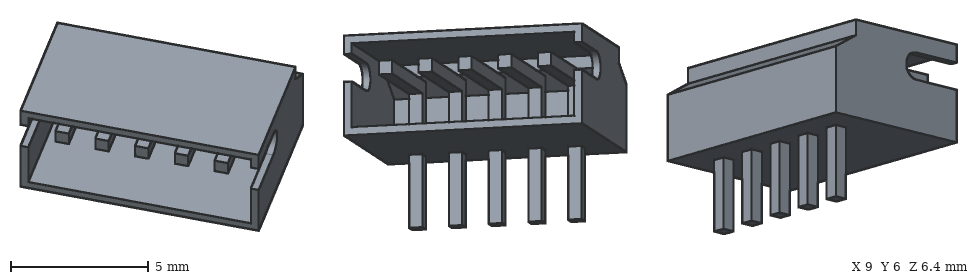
import cadquery as cq
import math

LENGTH = 9.0
DEPTH = 6.0
HOUSING_HEIGHT = 3.7
WALL = 0.3

STEP_DEPTH = 1.0
SLOPE_TOP_DROP = 0.59
SLOPE_BOTTOM_DROP = 1.2

SLOT_HEIGHT = 1.03
SLOT_LENGTH = 2.5
SLOT_CENTER_Z = 2.5

PIN_COUNT = 5
PIN_PITCH = 1.5
PIN_SIZE = 0.5
PIN_TAIL = 2.7
PIN_TIP_SETBACK = 0.29
PIN_BACK_OFFSET = 1.15

STEP_Y = DEPTH - STEP_DEPTH
SLOPE_TOP_Z = HOUSING_HEIGHT - SLOPE_TOP_DROP
SLOPE_BOTTOM_Z = HOUSING_HEIGHT - SLOPE_BOTTOM_DROP
SLOPE_ANGLE = math.atan2(SLOPE_TOP_Z - SLOPE_BOTTOM_Z, STEP_DEPTH)

INNER_TOP_DROP = WALL * (1 / math.cos(SLOPE_ANGLE) - math.tan(SLOPE_ANGLE))

PIN_BACK_Y = DEPTH - PIN_BACK_OFFSET
PIN_TOP_Z = SLOT_CENTER_Z + PIN_SIZE / 2
PIN_XS = [(i - (PIN_COUNT - 1) / 2) * PIN_PITCH for i in range(PIN_COUNT)]


def extrude_side_profile(points, width):
    """Extrude a (y, z) outline symmetrically about x = 0."""
    return cq.Workplane("YZ").polyline(points).close().extrude(width / 2, both=True)


def make_pin(x):
    """L-shaped pin: a contact pointing to the open front and a tail pointing down."""
    leg_front_y = PIN_BACK_Y - PIN_SIZE
    contact_bottom_z = PIN_TOP_Z - PIN_SIZE
    profile = [
        (PIN_TIP_SETBACK, PIN_TOP_Z),
        (PIN_BACK_Y, PIN_TOP_Z),
        (PIN_BACK_Y, -PIN_TAIL),
        (leg_front_y, -PIN_TAIL),
        (leg_front_y, contact_bottom_z),
        (PIN_TIP_SETBACK, contact_bottom_z),
    ]
    return extrude_side_profile(profile, PIN_SIZE).translate((x, 0, 0))


def make_shell():
    """Outer block with the stepped, sloped rear edge."""
    profile = [
        (0, 0),
        (DEPTH, 0),
        (DEPTH, SLOPE_BOTTOM_Z),
        (STEP_Y, SLOPE_TOP_Z),
        (STEP_Y, HOUSING_HEIGHT),
        (0, HOUSING_HEIGHT),
    ]
    return extrude_side_profile(profile, LENGTH)


def make_cavity():
    """Front opening that leaves one wall thickness, also behind the slope."""
    inner_top_z = HOUSING_HEIGHT - WALL
    inner_back_y = DEPTH - WALL
    inner_step_y = STEP_Y - WALL
    profile = [
        (0, WALL),
        (inner_back_y, WALL),
        (inner_back_y, SLOPE_BOTTOM_Z - INNER_TOP_DROP),
        (inner_step_y, SLOPE_TOP_Z - INNER_TOP_DROP),
        (inner_step_y, inner_top_z),
        (0, inner_top_z),
    ]
    return extrude_side_profile(profile, LENGTH - 2 * WALL)


def make_end_slots():
    """Slot, open at the front and round at the rear, through both end walls."""
    radius = SLOT_HEIGHT / 2
    straight = SLOT_LENGTH - radius
    return (
        cq.Workplane("YZ")
        .moveTo(0, SLOT_CENTER_Z - radius)
        .lineTo(straight, SLOT_CENTER_Z - radius)
        .threePointArc((SLOT_LENGTH, SLOT_CENTER_Z), (straight, SLOT_CENTER_Z + radius))
        .lineTo(0, SLOT_CENTER_Z + radius)
        .close()
        .extrude(LENGTH / 2, both=True)
    )


def make_housing(pins):
    """Shell with its cavity, end slots and a matching floor hole for each pin."""
    housing = make_shell().cut(make_cavity()).cut(make_end_slots())
    for pin in pins:
        housing = housing.cut(pin)
    return housing


pins = [make_pin(x) for x in PIN_XS]
housing = make_housing(pins)

result = cq.Compound.makeCompound([housing.val(), *[pin.val() for pin in pins]])